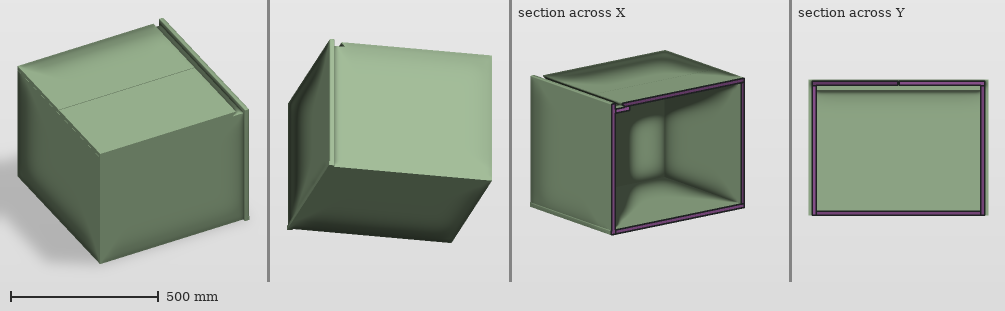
import cadquery as cq

total_width = 610.0
total_depth = 569.0
total_height = 460.0

board = 16.0
cabinet_width = 586.0
side_height = 440.0
rail_width = 61.0

door_setback = 0.5
door_length = 521.5
door_gap = 2.5
door_edge_land = 3.5

worktop_thickness = 16.5
lip_rise = 2.5
lip_width = 15.0
corner_round = 3.0
outer_round = 3.5
inner_round = 2.5

cabinet_depth = total_depth - worktop_thickness - lip_rise
inner_width = cabinet_width - 2 * board


def box(size_x, size_y, size_z, x_centre, y_start, z_start):
    """Block centred on x_centre, growing towards +Y and +Z from its start corner."""
    return (
        cq.Workplane("XY")
        .box(size_x, size_y, size_z, centered=(True, False, False))
        .translate((x_centre, y_start, z_start))
    )


def make_side(x_centre):
    """Side board that runs the full depth and height of the cabinet."""
    return box(board, cabinet_depth, side_height, x_centre, 0, 0)


def make_back():
    """Board between the sides at the -Z face of the cabinet."""
    return box(inner_width, cabinet_depth, board, 0, 0, 0)


def make_end_panel():
    """Panel that closes the -Y end between the sides and above the back."""
    return box(inner_width, board, side_height - board, 0, 0, board)


def make_rail():
    """Cross rail under the worktop, flush with the top edges of the sides."""
    return box(inner_width, rail_width, board, 0, cabinet_depth - rail_width, side_height - board)


def make_door(x_start):
    """Door with its +Y edge undercut at 45 degrees as a finger grip."""
    door_width = (cabinet_width - door_gap) / 2
    undercut = board - door_edge_land
    profile = [
        (0, 0),
        (door_length - undercut, 0),
        (door_length, undercut),
        (door_length, board),
        (0, board),
    ]
    door = cq.Workplane("YZ").polyline(profile).close().extrude(door_width)
    return door.translate((x_start, door_setback, side_height))


def make_worktop():
    """Slab with a raised lip along its -Z edge, rounded on every edge except those at -Z."""
    slab = box(total_width, worktop_thickness, total_height, 0, cabinet_depth, 0)
    slab = slab.edges("|Y and >Z").fillet(corner_round)
    slab = slab.faces("<Y").edges("not <Z").fillet(inner_round)
    slab = slab.faces(">Y").edges("not <Z").fillet(outer_round)

    lip_start = cabinet_depth + inner_round
    lip = box(total_width, total_depth - lip_start, lip_width, 0, lip_start, 0)
    lip = lip.faces(">Y").edges("not <Z").fillet(lip_rise)
    return slab.union(lip)


side_offset = (cabinet_width - board) / 2
sides = [make_side(x) for x in (-side_offset, side_offset)]
doors = [make_door(x) for x in (-cabinet_width / 2, door_gap / 2)]
back = make_back()
end_panel = make_end_panel()
rail = make_rail()
worktop = make_worktop()

result = cq.Compound.makeCompound(
    [
        *[side.val() for side in sides],
        *[door.val() for door in doors],
        back.val(),
        end_panel.val(),
        rail.val(),
        worktop.val(),
    ]
)